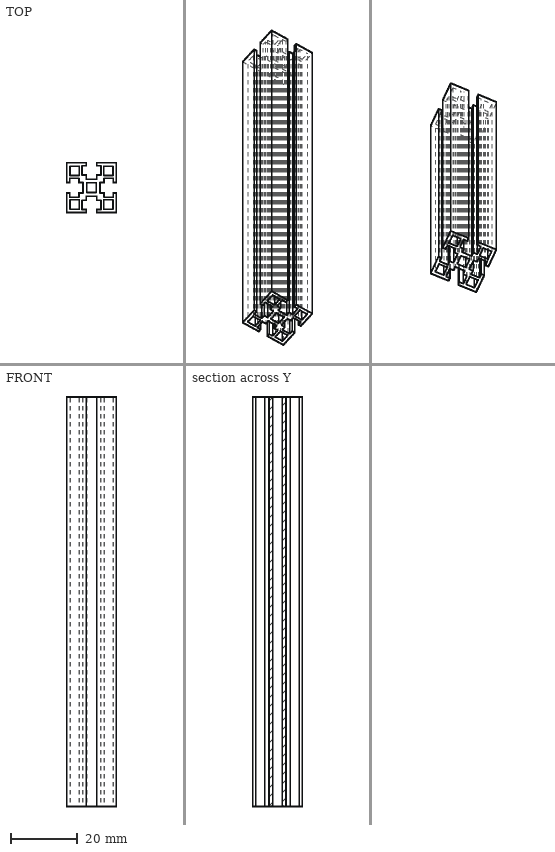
import cadquery as cq

side = 15.0
length = 123.0
skin = 1.1
lip = 1.0
cell_side = 2.7
web = 0.9
mouth_width = 3.1
slot_depth = 3.7
groove_depth = 4.9
core_side = 2.8

half_side = side / 2
cell_centre = half_side - skin - cell_side / 2
cavity_half_width = cell_centre - cell_side / 2 - web


def slot_cutter():
    """T-slot open to +Y, with a narrow groove in its floor."""
    mouth_and_groove = (
        cq.Workplane("XY")
        .center(0, half_side - groove_depth / 2)
        .rect(mouth_width, groove_depth)
        .extrude(length)
    )
    cavity_depth = slot_depth - lip
    cavity = (
        cq.Workplane("XY")
        .center(0, half_side - lip - cavity_depth / 2)
        .rect(2 * cavity_half_width, cavity_depth)
        .extrude(length)
    )
    return mouth_and_groove.union(cavity)


result = cq.Workplane("XY").rect(side, side).extrude(length)

slot = slot_cutter()
for angle in (0, 90, 180, 270):
    result = result.cut(slot.rotate((0, 0, 0), (0, 0, 1), angle))

corner_cells = (
    cq.Workplane("XY")
    .rect(2 * cell_centre, 2 * cell_centre, forConstruction=True)
    .vertices()
    .rect(cell_side, cell_side)
    .extrude(length)
)
result = result.cut(corner_cells)

core = cq.Workplane("XY").rect(core_side, core_side).extrude(length)
result = result.cut(core)